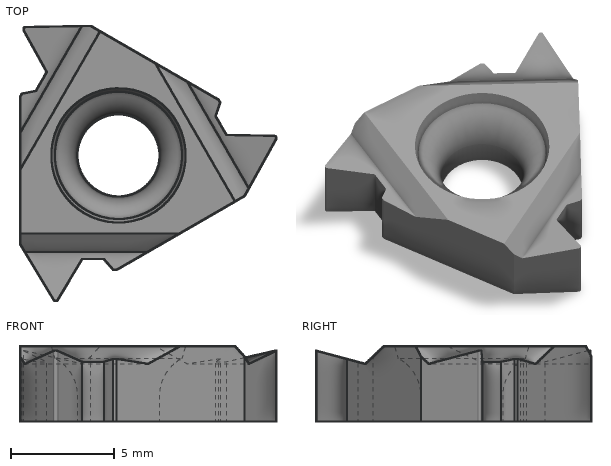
import cadquery as cq
import math

thickness = 3.65
side_distance = 4.76
tooth_count = 3
tooth_step = 360 / tooth_count

tip_x = -3.04
tip_y = -7.05
tip_radius = 0.12
flank_angle = math.radians(59)
notch_floor_y = -5.03
notch_end_x = -0.7
shoulder_y = -5.55
shoulder_start_x = -0.25

groove_edge_y = -3.77
groove_valley_y = -4.67
groove_depth = 0.85
rake_angle = math.radians(15)
groove_reach = 13.33

seat_top_radius = 3.25
seat_bottom_radius = 3.08
seat_depth = 0.59
bore_radius = 1.99
bore_depth = 2.4


def rotated(point, angle):
    x, y = point
    c = math.cos(math.radians(angle))
    s = math.sin(math.radians(angle))
    return (x * c - y * s, x * s + y * c)


def tooth_points():
    """Corners of one tooth, from the side face to the shoulder; the tip is points 1 to 3."""
    tangent_dx = tip_radius * math.sin(flank_angle)
    tangent_y = tip_y + tip_radius * (1 - math.cos(flank_angle))
    slope = math.tan(flank_angle)
    side_corner_y = tangent_y + (tip_x - tangent_dx + side_distance) * slope
    notch_start_x = tip_x + tangent_dx + (notch_floor_y - tangent_y) / slope
    lean = math.radians(30)
    shoulder_end_x = (side_distance + shoulder_y * math.cos(lean)) / math.sin(lean)
    return [
        (-side_distance, side_corner_y),
        (tip_x - tangent_dx, tangent_y),
        (tip_x, tip_y),
        (tip_x + tangent_dx, tangent_y),
        (notch_start_x, notch_floor_y),
        (notch_end_x, notch_floor_y),
        (shoulder_start_x, shoulder_y),
        (shoulder_end_x, shoulder_y),
    ]


def insert_blank():
    outline = cq.Workplane("XY").moveTo(*tooth_points()[0])
    for index in range(tooth_count):
        points = [rotated(point, index * tooth_step) for point in tooth_points()]
        side_corner, flank_end, tip, flank_start = points[:4]
        if index > 0:
            outline = outline.lineTo(*side_corner)
        outline = outline.lineTo(*flank_end).threePointArc(tip, flank_start)
        for point in points[4:]:
            outline = outline.lineTo(*point)
    return outline.close().extrude(thickness)


def chip_groove():
    valley_z = thickness - groove_depth
    exit_y = groove_valley_y - groove_depth / math.tan(rake_angle)
    section = [
        (groove_edge_y, thickness),
        (groove_valley_y, valley_z),
        (exit_y, thickness),
    ]
    return cq.Workplane("YZ").polyline(section).close().extrude(groove_reach, both=True)


def screw_hole():
    seat_z = thickness - seat_depth
    bore_z = thickness - bore_depth
    radial_drop = seat_bottom_radius - bore_radius
    axial_drop = seat_z - bore_z
    curve_radius = (radial_drop**2 + axial_drop**2) / (2 * radial_drop)
    half_sweep = math.asin(axial_drop / curve_radius) / 2
    curve_middle = (
        bore_radius + curve_radius * (1 - math.cos(half_sweep)),
        bore_z + curve_radius * math.sin(half_sweep),
    )
    return (
        cq.Workplane("XZ")
        .lineTo(bore_radius, 0)
        .lineTo(bore_radius, bore_z)
        .threePointArc(curve_middle, (seat_bottom_radius, seat_z))
        .lineTo(seat_top_radius, thickness)
        .lineTo(0, thickness)
        .close()
        .revolve(360, (0, 0, 0), (0, 1, 0))
    )


result = insert_blank().cut(screw_hole())
for tooth in range(tooth_count):
    groove = chip_groove().rotate((0, 0, 0), (0, 0, 1), tooth * tooth_step)
    result = result.cut(groove)